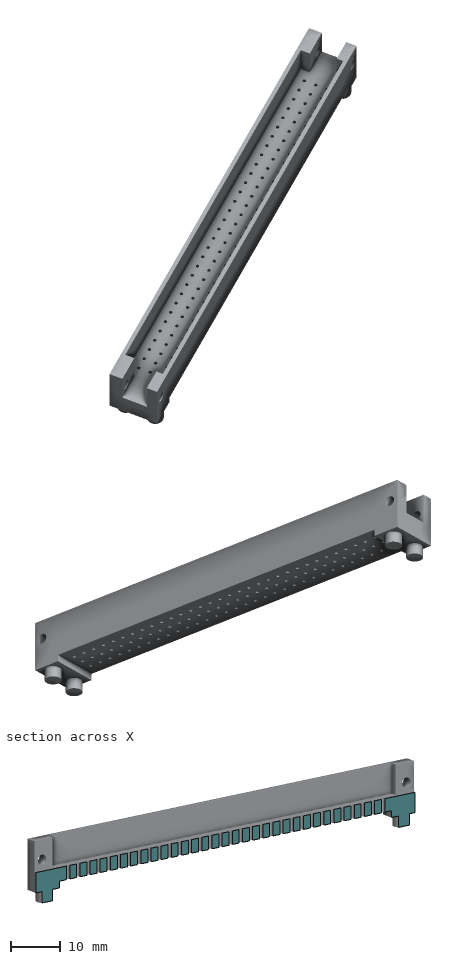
import cadquery as cq

length = 94.9
width = 10.5
height = 13.1
peg_height = 2.4
body_height = height - peg_height

channel_depth = 6.4
left_wall = 2.8
right_wall = 2.3
floor_height = body_height - channel_depth

thin_wall = 0.9
left_block_length = 5.7
right_block_length = 4.6

foot_length = 6.0
relief_depth = 1.4

contact_diameter = 0.7
contact_columns = 3
contact_rows = 32
contact_row_span = 78.8
contact_pitch = contact_row_span / (contact_rows - 1)

cross_hole_diameter = 2.1
cross_hole_end_distance = 1.9
cross_hole_top_distance = 4.2

peg_diameter = 3.4
peg_end_distance = 2.8
peg_left_distance = 2.3
peg_right_distance = peg_diameter / 2


def box_between(x_min, x_max, box_length, z_min, z_max):
    """Box centred on Y, given by its X and Z limits."""
    return (
        cq.Workplane("XY", origin=((x_min + x_max) / 2, 0, z_min))
        .box(x_max - x_min, box_length, z_max - z_min, centered=(True, True, False))
    )


left_side = -width / 2
right_side = width / 2


def make_body():
    """Block with the stepped channel on top and the relief underneath."""
    body = box_between(left_side, right_side, length, 0, body_height)
    channel_left = left_side + left_wall
    channel_right = right_side - right_wall
    channel = box_between(channel_left, channel_right, length, floor_height, body_height)
    left_recess = box_between(
        left_side + thin_wall, channel_left, length - 2 * left_block_length, floor_height, body_height
    )
    right_recess = box_between(
        channel_right, right_side - thin_wall, length - 2 * right_block_length, floor_height, body_height
    )
    relief = box_between(left_side, right_side, length - 2 * foot_length, 0, relief_depth)
    return body.cut(channel).cut(left_recess).cut(right_recess).cut(relief)


def make_contact_holes():
    """Grid of small holes that pass through the floor."""
    return (
        cq.Workplane("XY")
        .rarray(contact_pitch, contact_pitch, contact_columns, contact_rows)
        .circle(contact_diameter / 2)
        .extrude(floor_height)
    )


def make_cross_holes():
    """One hole along X near each end, through both walls."""
    hole_y = length / 2 - cross_hole_end_distance
    hole_z = body_height - cross_hole_top_distance
    return (
        cq.Workplane("YZ", origin=(left_side, 0, 0))
        .pushPoints([(-hole_y, hole_z), (hole_y, hole_z)])
        .circle(cross_hole_diameter / 2)
        .extrude(width)
    )


def make_pegs():
    """Two round pegs under each foot."""
    peg_y = length / 2 - peg_end_distance
    peg_xs = (left_side + peg_left_distance, right_side - peg_right_distance)
    return (
        cq.Workplane("XY")
        .pushPoints([(x, y) for x in peg_xs for y in (-peg_y, peg_y)])
        .circle(peg_diameter / 2)
        .extrude(-peg_height)
    )


result = make_body().union(make_pegs()).cut(make_contact_holes()).cut(make_cross_holes())